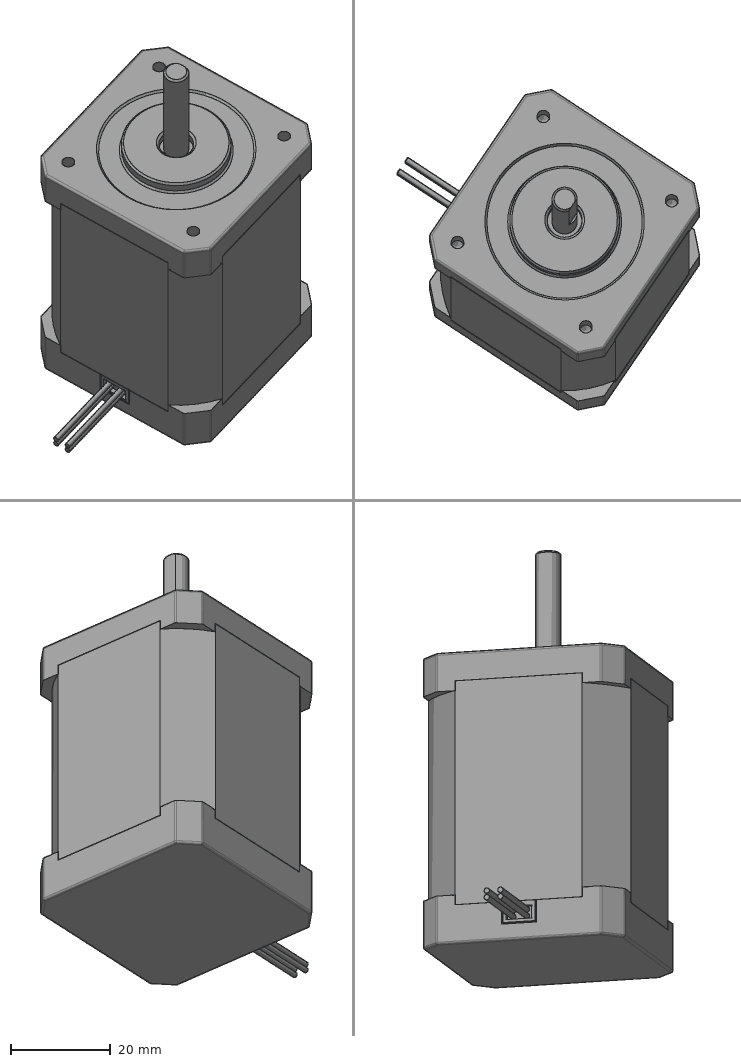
import cadquery as cq
import math

body_width = 42.3
panel_proud = 0.1
cap_width = body_width - 2 * panel_proud
cap_corner_cut = 3.9
cap_round = 0.5
housing_height = 60.0
bottom_cap_height = 10.0
top_cap_height = 8.0

stator_diameter = 50.0
panel_width = math.sqrt(stator_diameter**2 - body_width**2)
panel_overlap = 2.0

pilot_diameter = 22.0
pilot_height = 2.0
pilot_chamfer = 0.4
recess_diameter = 32.0
recess_depth = 0.4

shaft_diameter = 5.0
shaft_chamfer = 0.4
shaft_top = 84.0
flat_length = 14.95
flat_depth = 0.5
shaft_hole_diameter = 7.0
shaft_hole_chamfer = 0.5

hole_pitch = 31.0
hole_diameter = 2.5
hole_depth = 4.5
drill_tip_angle = 118

connector_width = 7.3
connector_height = 4.5
connector_gap = 0.25
connector_gap_depth = 0.25
socket_width = 5.4
socket_height = 2.7
socket_center_z = 5.6
socket_depth = 1.0
wire_diameter = 1.1
wire_pitch_x = 2.85
wire_pitch_z = 1.35
wire_end_y = -39.15


def plain_block(width_x, width_y, z_low, z_high):
    """Block centred on the shaft axis between two heights."""
    block = cq.Workplane("XY").box(width_x, width_y, z_high - z_low, centered=(True, True, False))
    return block.translate((0, 0, z_low))


def end_cap(z_low, z_high, outer_face):
    """Square cap with cut corners, rounded everywhere but on the stator side."""
    cap = plain_block(cap_width, cap_width, z_low, z_high)
    cap = cap.edges("|Z").chamfer(cap_corner_cut)
    return cap.edges("|Z").fillet(cap_round).faces(outer_face).edges().fillet(cap_round)


def stator():
    """Rounded core between the caps, plus side panels that lap onto both caps."""
    core_top = housing_height - top_cap_height
    core_height = core_top - bottom_cap_height
    barrel = cq.Workplane("XY", origin=(0, 0, bottom_cap_height))
    barrel = barrel.circle(stator_diameter / 2).extrude(core_height)
    core = plain_block(body_width, body_width, bottom_cap_height, core_top).intersect(barrel)
    panel_low = bottom_cap_height - panel_overlap
    panel_high = core_top + panel_overlap
    panels_x = plain_block(body_width, panel_width, panel_low, panel_high)
    panels_y = plain_block(panel_width, body_width, panel_low, panel_high)
    return core.union(panels_x).union(panels_y)


def face_recess():
    """Ring-shaped recess with 45 degree walls around the pilot boss."""
    floor_z = housing_height - recess_depth
    inner = pilot_diameter / 2
    outer = recess_diameter / 2
    profile = [
        (inner, housing_height),
        (inner + recess_depth, floor_z),
        (outer - recess_depth, floor_z),
        (outer, housing_height),
    ]
    return cq.Workplane("XZ").polyline(profile).close().revolve(360, (0, 0), (0, 1))


def pilot_boss():
    """Chamfered boss with a chamfered clearance hole for the shaft."""
    boss = cq.Workplane("XY", origin=(0, 0, housing_height))
    boss = boss.circle(pilot_diameter / 2).extrude(pilot_height)
    boss = boss.faces(">Z").edges().chamfer(pilot_chamfer)
    boss = boss.faces(">Z").workplane().hole(shaft_hole_diameter)
    hole_rim = boss.faces(">Z").edges(cq.selectors.RadiusNthSelector(0))
    return hole_rim.chamfer(shaft_hole_chamfer)


def shaft():
    """Output shaft with a chamfered tip and a flat near the tip."""
    rod = cq.Workplane("XY", origin=(0, 0, housing_height))
    rod = rod.circle(shaft_diameter / 2).extrude(shaft_top - housing_height)
    rod = rod.faces(">Z").edges().chamfer(shaft_chamfer)
    flat_cut = plain_block(shaft_diameter, shaft_diameter, shaft_top - flat_length, shaft_top)
    return rod.cut(flat_cut.translate((0, shaft_diameter - flat_depth, 0)))


def mounting_holes():
    """Four blind holes with conical drill tips in the top face."""
    radius = hole_diameter / 2
    bottom_z = housing_height - hole_depth
    tip_z = bottom_z - radius / math.tan(math.radians(drill_tip_angle / 2))
    profile = [(0, housing_height), (radius, housing_height), (radius, bottom_z), (0, tip_z)]
    drill = cq.Workplane("XZ").polyline(profile).close().revolve(360, (0, 0), (0, 1))
    places = cq.Workplane("XY").rect(hole_pitch, hole_pitch, forConstruction=True).vertices()
    return places.eachpoint(lambda place: drill.val().moved(place), combine="a")


def connector_block(width, z_low, z_high, depth):
    """Block reaching inward from the front face of the bottom cap."""
    block = plain_block(width, depth, z_low, z_high)
    return block.translate((0, (depth - cap_width) / 2, 0))


def connector_cut():
    """Gap on three sides of the connector, and the socket for the wires."""
    top_z = bottom_cap_height - panel_overlap
    low_z = top_z - connector_height
    seat = connector_block(connector_width, low_z, top_z, connector_gap_depth)
    plug_width = connector_width - 2 * connector_gap
    plug = connector_block(plug_width, low_z + connector_gap, top_z, connector_gap_depth)
    socket_low = socket_center_z - socket_height / 2
    socket = connector_block(socket_width, socket_low, socket_low + socket_height, socket_depth)
    return seat.cut(plug).union(socket)


def wires():
    """Two by two straight wires running out of the socket."""
    wire_length = -wire_end_y - cap_width / 2 + socket_depth
    ends = cq.Workplane("XZ", origin=(0, wire_end_y, socket_center_z))
    ends = ends.rect(wire_pitch_x, wire_pitch_z, forConstruction=True).vertices()
    return ends.circle(wire_diameter / 2).extrude(-wire_length)


result = end_cap(0, bottom_cap_height, "<Z")
result = result.union(end_cap(housing_height - top_cap_height, housing_height, ">Z"))
result = result.union(stator())
result = result.cut(face_recess()).cut(mounting_holes()).cut(connector_cut())
result = result.union(pilot_boss()).union(shaft()).union(wires())